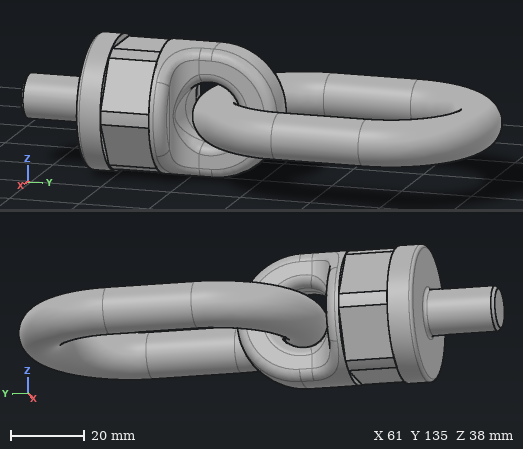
import cadquery as cq
import math


shank_diameter = 12.7
shank_length = 20.0
shank_chamfer = 0.9
shank_root_fillet = 1.0
flange_diameter = 38.0
flange_thickness = 7.0
flange_fillet = 1.0
hex_across_flats = 34.0
hex_height = 13.8

head_diameter = 37.2
base_thickness = 4.2
neck_width = 13.0
flare_radius = 6.5
dome_height = 14.2
eye_diameter = 17.0
eye_height = 13.2
edge_fillet = 3.0

selection_margin = 0.1

link_width = 61.0
rod_diameter = 13.0
link_straight = 25.0
overall_length = 135.0

head_radius = head_diameter / 2
head_y = flange_thickness + hex_height
dome_y = head_y + dome_height
eye_y = head_y + eye_height
bend_radius = (link_width - rod_diameter) / 2
link_end_y = overall_length - shank_length
far_bend_y = link_end_y - link_width / 2
near_bend_y = far_bend_y - link_straight


def disc(diameter, start_y, end_y):
    """Cylinder on the bolt axis between two heights."""
    plane = cq.Workplane("XZ", origin=(0, start_y, 0))
    return plane.circle(diameter / 2).extrude(start_y - end_y)


def make_bolt():
    """Flanged hexagon bolt with rounded hexagon corners."""
    flange = disc(flange_diameter, 0, flange_thickness).faces("<Y").edges().fillet(flange_fillet)
    hex_corner_diameter = hex_across_flats / math.cos(math.pi / 6)
    hexagon = (
        cq.Workplane("XZ", origin=(0, flange_thickness, 0))
        .polygon(6, hex_corner_diameter)
        .extrude(-hex_height)
        .intersect(disc(head_diameter, flange_thickness, head_y))
    )
    shank = disc(shank_diameter, -shank_length, 0).faces("<Y").edges().chamfer(shank_chamfer)
    root_edge = cq.selectors.BoxSelector(
        (-shank_diameter, -shank_root_fillet / 2, -shank_diameter),
        (shank_diameter, shank_root_fillet / 2, shank_diameter),
    )
    return flange.union(hexagon).union(shank).edges(root_edge).fillet(shank_root_fillet)


def make_dome():
    """Cylinder closed by a hemisphere, the envelope of the whole head."""
    diagonal = head_radius * math.sqrt(0.5)
    return (
        cq.Workplane("XY")
        .moveTo(0, head_y)
        .lineTo(head_radius, head_y)
        .lineTo(head_radius, dome_y)
        .threePointArc((diagonal, dome_y + diagonal), (0, dome_y + head_radius))
        .close()
        .revolve(360, (0, 0, 0), (0, 1, 0))
    )


def make_side_cut(side):
    """Stock removed beside the neck, with the concave flare down to the base."""
    base_top_y = head_y + base_thickness
    neck_x = neck_width / 2
    outer_x = flange_diameter
    top_y = dome_y + flange_diameter
    flare_x = neck_x + flare_radius
    flare_y = base_top_y + flare_radius
    diagonal = flare_radius * math.sqrt(0.5)
    return (
        cq.Workplane("XY")
        .moveTo(side * outer_x, base_top_y)
        .lineTo(side * flare_x, base_top_y)
        .threePointArc((side * (flare_x - diagonal), flare_y - diagonal), (side * neck_x, flare_y))
        .lineTo(side * neck_x, top_y)
        .lineTo(side * outer_x, top_y)
        .close()
        .extrude(head_diameter, both=True)
    )


def make_head():
    """Swivel head with the eye that carries the link."""
    head = make_dome()
    for side in (-1, 1):
        head = head.cut(make_side_cut(side))
    head = head.edges("%BSPLINE").fillet(edge_fillet)
    eye = cq.Workplane("YZ").center(eye_y, 0).circle(eye_diameter / 2).extrude(head_diameter, both=True)
    head = head.cut(eye)
    reach = eye_diameter / 2 + selection_margin
    eye_edges = cq.selectors.BoxSelector(
        (-head_radius, eye_y - reach, -reach),
        (head_radius, eye_y + reach, reach),
        boundingbox=True,
    )
    return head.edges(eye_edges).fillet(edge_fillet)


def make_link():
    """Oblong link of round rod: two straights joined by two half-circle bends."""
    path = (
        cq.Workplane("XY")
        .moveTo(bend_radius, near_bend_y)
        .lineTo(bend_radius, far_bend_y)
        .threePointArc((0, far_bend_y + bend_radius), (-bend_radius, far_bend_y))
        .lineTo(-bend_radius, near_bend_y)
        .threePointArc((0, near_bend_y - bend_radius), (bend_radius, near_bend_y))
        .close()
    )
    section = cq.Workplane("XZ", origin=(bend_radius, near_bend_y, 0)).circle(rod_diameter / 2)
    return section.sweep(path)


bolt = make_bolt()
head = make_head()
link = make_link()
result = cq.Compound.makeCompound([bolt.solids().val(), head.solids().val(), link.solids().val()])